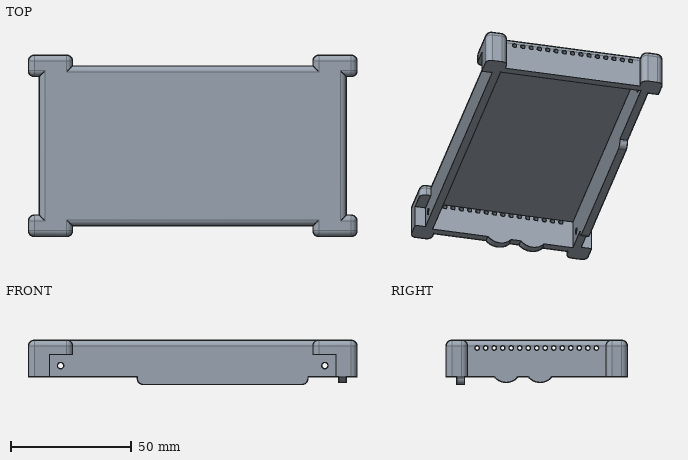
import cadquery as cq

OVERALL_LENGTH = 136.62
OVERALL_WIDTH = 75.44
OVERALL_HEIGHT = 18.5
BODY_HEIGHT = 15.24

BUMPER_STANDOFF = 4.445
CASE_LENGTH = OVERALL_LENGTH - 2 * BUMPER_STANDOFF
CASE_WIDTH = OVERALL_WIDTH - 2 * BUMPER_STANDOFF
WALL = 3.302
CEILING = 2.4
EDGE_RADIUS = 2.54

BUMPER_LENGTH = 18.415
BUMPER_WIDTH = 9.0
NOTCH_INSET = 8.89
BUMPER_CAP_HEIGHT = 5.9
NOTCH_TOP = BODY_HEIGHT - BUMPER_CAP_HEIGHT

SIDE_HOLE_DIAMETER = 2.54
SIDE_HOLE_X = 54.9
SIDE_HOLE_DEPTH_BELOW_TOP = 10.6
SIDE_HOLE_Z = BODY_HEIGHT - SIDE_HOLE_DEPTH_BELOW_TOP

VENT_DIAMETER = 1.78
VENT_COUNT = 15
VENT_PITCH = 3.54
VENT_DEPTH_BELOW_TOP = 3.302
VENT_Z = BODY_HEIGHT - VENT_DEPTH_BELOW_TOP

LONG_TAB_LENGTH = 71.0
LONG_TAB_CENTER_X = 12.4
LONG_TAB_DROP = OVERALL_HEIGHT - BODY_HEIGHT

LOBE_RADIUS = 6.35
LOBE_DROP = 2.4
LOBE_CENTERS_Y = (1.4, -12.7)


def box_between(x_range, y_range, z_range):
    """Box spanning the given (low, high) limits along each axis."""
    spans = [high - low for low, high in (x_range, y_range, z_range)]
    return (
        cq.Workplane("XY")
        .box(*spans, centered=False)
        .translate((x_range[0], y_range[0], z_range[0]))
    )


def make_outer_body():
    """Plain block plus four corner bumpers with rounded uprights; the whole top rim is rounded."""
    body = cq.Workplane("XY").box(CASE_LENGTH, CASE_WIDTH, BODY_HEIGHT, centered=(True, True, False))
    bumpers = (
        cq.Workplane("XY")
        .rect(OVERALL_LENGTH - BUMPER_LENGTH, OVERALL_WIDTH - BUMPER_WIDTH, forConstruction=True)
        .vertices()
        .rect(BUMPER_LENGTH, BUMPER_WIDTH)
        .extrude(BODY_HEIGHT)
        .edges("|Z")
        .fillet(EDGE_RADIUS)
    )
    return body.union(bumpers).faces(">Z").edges().fillet(EDGE_RADIUS)


def make_cavity():
    """Inside of the case, open at the bottom."""
    return cq.Workplane("XY").box(
        CASE_LENGTH - 2 * WALL,
        CASE_WIDTH - 2 * WALL,
        BODY_HEIGHT - CEILING,
        centered=(True, True, False),
    )


def make_notches():
    """Clearance under the inner part of each bumper, down to the long wall faces."""
    reach_x = OVERALL_LENGTH / 2 - NOTCH_INSET
    notches = box_between((-reach_x, reach_x), (-OVERALL_WIDTH, OVERALL_WIDTH), (0, NOTCH_TOP))
    between_walls = box_between(
        (-reach_x, reach_x), (-CASE_WIDTH / 2, CASE_WIDTH / 2), (0, NOTCH_TOP)
    )
    return notches.cut(between_walls)


def make_side_holes():
    """Pair of bores running along Y through both long walls."""
    return (
        cq.Workplane("XZ")
        .pushPoints([(-SIDE_HOLE_X, SIDE_HOLE_Z), (SIDE_HOLE_X, SIDE_HOLE_Z)])
        .circle(SIDE_HOLE_DIAMETER / 2)
        .extrude(OVERALL_WIDTH, both=True)
    )


def make_vents():
    """Row of bores running along X through both end walls, just below the ceiling."""
    return (
        cq.Workplane("YZ")
        .center(0, VENT_Z)
        .rarray(VENT_PITCH, 1, VENT_COUNT, 1)
        .circle(VENT_DIAMETER / 2)
        .extrude(OVERALL_LENGTH, both=True)
    )


def make_long_tab():
    """Downward extension of the -Y wall with rounded lower corners."""
    start_x = LONG_TAB_CENTER_X - LONG_TAB_LENGTH / 2
    outer_y = -CASE_WIDTH / 2
    tab = box_between(
        (start_x, start_x + LONG_TAB_LENGTH),
        (outer_y, outer_y + WALL),
        (-LONG_TAB_DROP, 0),
    )
    return tab.faces("<Z").edges("|Y").fillet(EDGE_RADIUS)


def make_lobe(center_y):
    """Downward extension of the +X wall shaped as a segment of a circle."""
    inner_x = CASE_LENGTH / 2 - WALL
    half_chord = (LOBE_RADIUS**2 - (LOBE_RADIUS - LOBE_DROP) ** 2) ** 0.5
    return (
        cq.Workplane("YZ", origin=(inner_x, center_y, 0))
        .moveTo(-half_chord, 0)
        .threePointArc((0, -LOBE_DROP), (half_chord, 0))
        .close()
        .extrude(WALL)
    )


result = make_outer_body().cut(make_cavity()).cut(make_notches())
result = result.cut(make_side_holes()).cut(make_vents())
result = result.union(make_long_tab())
for lobe_center_y in LOBE_CENTERS_Y:
    result = result.union(make_lobe(lobe_center_y))